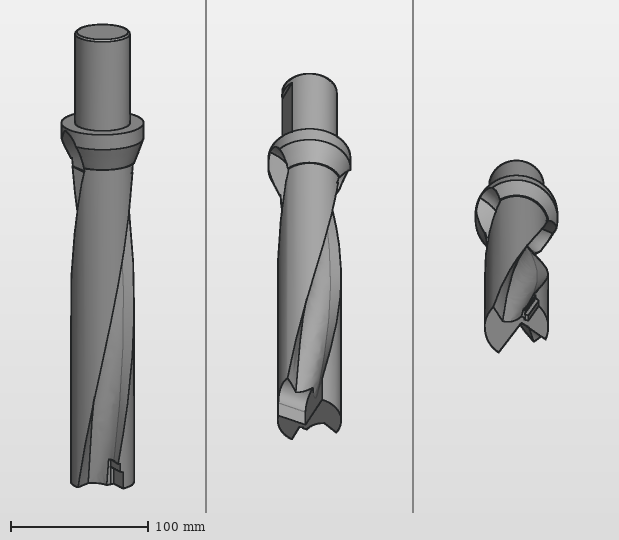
import cadquery as cq

total_length = 342.5
flange_top = 273.5
flange_cone_top = 262.0
flange_cone_bottom = 244.5

body_diameter = 46.3
flange_diameter = 60.0
shank_diameter = 40.0
cone_bottom_diameter = 47.5
shank_chamfer = 1.5

flat_distance = 17.8
flat_bottom = 280.3
flat_top = 336.5

flute_count = 2
flute_twist_rate = 0.5136
flute_start_direction = 134.0
flute_helix_top = 240.0
flute_runout_height = 31.5
flute_runout_tilt = 22.0
runout_lead_in = 20.0
runout_axis_clearance = 0.5

mouth_depth = 19.2
mouth_half_width = 13.5
floor_depth = 5.5
leading_crease = (7.0, -9.0)
trailing_crease = (12.0, 9.3)

outer_pocket_height = 27.0
outer_pocket_radius = 13.7
outer_pocket_floor = 5.0
outer_pocket_tilt = 2.0

shelf_height = 19.5
shelf_side = 9.3
shelf_face = 1.5
seat_height = 13.5
seat_side = 8.2
seat_depth = 2.7
seat_wall_angle = 20.0


def turned_blank():
    body_radius = body_diameter / 2
    flange_radius = flange_diameter / 2
    shank_radius = shank_diameter / 2
    half_outline = [
        (0, 0),
        (body_radius, 0),
        (body_radius, flange_cone_bottom),
        (cone_bottom_diameter / 2, flange_cone_bottom),
        (flange_radius, flange_cone_top),
        (flange_radius, flange_top),
        (shank_radius, flange_top),
        (shank_radius, total_length - shank_chamfer),
        (shank_radius - shank_chamfer, total_length),
        (0, total_length),
    ]
    return cq.Workplane("XZ").polyline(half_outline).close().revolve(360, (0, 0), (0, 1))


def shank_flat():
    return (
        cq.Workplane("XY", origin=(0, flat_distance, flat_bottom))
        .rect(shank_diameter, shank_diameter)
        .extrude(flat_top - flat_bottom)
        .translate((0, shank_diameter / 2, 0))
    )


def wall_end(crease, mouth_side, depth):
    """Point at the given depth on the wall running from a floor crease through the flute mouth."""
    slope = (mouth_side - crease[1]) / (mouth_depth - crease[0])
    return (depth, crease[1] + slope * (depth - crease[0]))


def flute_section(outer_depth):
    """Flute section opening toward +X: two straight walls joined by a round floor."""
    leading_end = wall_end(leading_crease, -mouth_half_width, outer_depth)
    trailing_end = wall_end(trailing_crease, mouth_half_width, outer_depth)
    return (
        cq.Workplane("XY")
        .moveTo(*leading_end)
        .lineTo(*leading_crease)
        .threePointArc((floor_depth, 0), trailing_crease)
        .lineTo(*trailing_end)
        .close()
    )


def helical_flute():
    twist = flute_twist_rate * flute_helix_top
    return flute_section(flange_diameter / 2).twistExtrude(flute_helix_top, twist)


def flute_runout():
    """Flute end that curves out of the flange about an axis across the flute."""
    flange_radius = flange_diameter / 2
    run = flange_radius - floor_depth
    radius = (run**2 + flute_runout_height**2) / (2 * run)
    axis_depth = floor_depth + radius
    runout = flute_section(axis_depth - runout_axis_clearance).revolve(
        90 + runout_lead_in, (axis_depth, 0), (axis_depth, 1)
    )
    return (
        runout.rotate((axis_depth, 0, 0), (axis_depth, 1, 0), -runout_lead_in)
        .rotate((0, 0, 0), (1, 0, 0), -flute_runout_tilt)
        .rotate((0, 0, 0), (0, 0, 1), flute_twist_rate * flute_helix_top)
        .translate((0, 0, flute_helix_top))
    )


def outer_pocket():
    outer_edge = (-body_diameter / 2, 0)
    return (
        cq.Workplane("XY")
        .box(body_diameter, body_diameter, 2 * outer_pocket_height)
        .edges(">X and >Z").fillet(outer_pocket_radius)
        .translate((outer_pocket_floor - body_diameter / 2, body_diameter / 2, 0))
        .rotate((*outer_edge, 0), (*outer_edge, 1), outer_pocket_tilt)
    )


def tip_block(side, top, face, depth, wall_angle=0):
    """Block that runs out of the tip at +X and -Z, from the given face toward +Y."""
    return (
        cq.Workplane("ZX", origin=(side + body_diameter / 2, face, 0))
        .rect(2 * top, body_diameter)
        .extrude(depth, taper=wall_angle)
    )


def inner_pocket():
    shelf = tip_block(shelf_side, shelf_height, shelf_face - body_diameter / 2, body_diameter / 2)
    seat = tip_block(seat_side, seat_height, shelf_face, seat_depth, seat_wall_angle)
    return shelf.union(seat)


result = turned_blank().cut(shank_flat())
for index in range(flute_count):
    direction = flute_start_direction + index * 360 / flute_count
    for cutter in (helical_flute(), flute_runout()):
        result = result.cut(cutter.rotate((0, 0, 0), (0, 0, 1), direction))
result = result.cut(outer_pocket()).cut(inner_pocket())